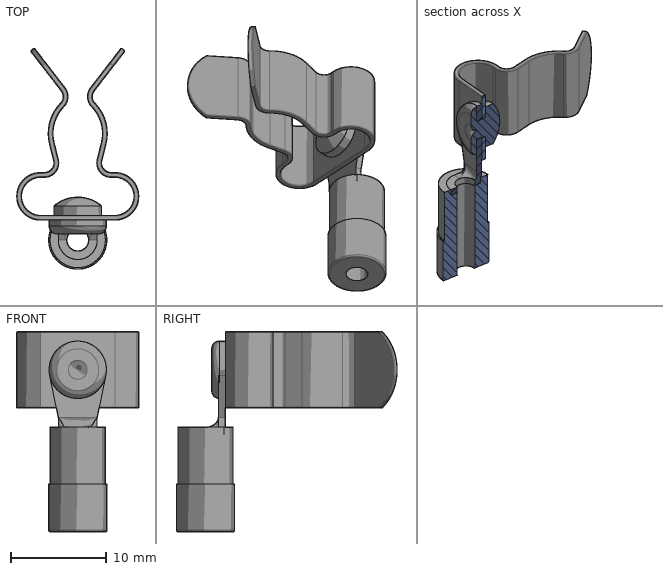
import cadquery as cq
import math


CLIP_WIDTH = 12.8
STRIP_THICKNESS = 0.5
STRIP_HEIGHT = 8.0
STRIP_EDGE_ROUND = 0.1
HALF_STRIP = STRIP_THICKNESS / 2
LOBE_RADIUS = 2.5 - HALF_STRIP
LOBE_X = CLIP_WIDTH / 2 - HALF_STRIP - LOBE_RADIUS
NECK_RADIUS = 1.25
NECK_X = 3.5
BOW_RADIUS = 4.0 + HALF_STRIP
BOW_X = -1.41
BOW_Y = 9.1
TIP_RADIUS = 1.25
TIP_X = 2.52
ARM_ANGLE = math.radians(37.7)
ARM_END_RADIUS = 5.0
CLIP_REACH = 18.06

LUG_THICKNESS = 0.75
EYE_RADIUS = 3.0
FOOT_RADIUS = 2.04
FOOT_BACK_Y = -0.12
BEND_TOP_Z = -5.03
HOLE_RADIUS = 1.13

HOLDER_TOP_Z = -6.02
HOLDER_STEP_Z = -12.0
HOLDER_BOTTOM_Z = -17.0
HOLDER_AXIS_Y = -2.08
HOLDER_UPPER_RADIUS = 2.9
HOLDER_LOWER_RADIUS = 3.05
HOLDER_EDGE_ROUND = 0.19

HEAD_RADIUS = EYE_RADIUS
HEAD_FACE_Y = -1.44
HEAD_ROUND = 0.8
HEAD_SEAT_Y = HEAD_FACE_Y + HEAD_ROUND
DIMPLE_RADIUS = 1.0
DIMPLE_FLARE_RADIUS = 1.07
SHANK_RADIUS = 1.15
BUTTON_RADIUS = 2.5
BUTTON_RIM_Y = 1.5
BUTTON_TOP_Y = 2.43


def polar(center, radius, angle):
    """Point at an angle in radians on a circle in the XY plane."""
    return cq.Vector(center[0] + radius * math.cos(angle), center[1] + radius * math.sin(angle))


def arc(center, radius, start, end):
    """Arc edge between two angles in radians."""
    stops = [polar(center, radius, a) for a in (start, (start + end) / 2, end)]
    return cq.Edge.makeThreePointArc(*stops)


LOBE = (LOBE_X, LOBE_RADIUS + HALF_STRIP)
NECK = (NECK_X, LOBE[1] + LOBE_RADIUS + NECK_RADIUS)
BOW = (BOW_X, BOW_Y)
BOW_TO_TIP_ANGLE = math.acos((TIP_X - BOW_X) / (BOW_RADIUS + TIP_RADIUS))
TIP = (TIP_X, BOW_Y + (BOW_RADIUS + TIP_RADIUS) * math.sin(BOW_TO_TIP_ANGLE))


def bow_start_angle():
    """Slope of the straight that is tangent to the neck on one side and the bow on the other."""
    across = NECK[0] - BOW[0]
    along = NECK[1] - BOW[1]
    swing = math.acos((BOW_RADIUS + NECK_RADIUS) / math.hypot(across, along))
    return math.atan2(along, across) + swing


def bent_side():
    """Mid-thickness edges of the +X side, from the base up to the end of the tip bend."""
    straight_angle = bow_start_angle()
    lobe = arc(LOBE, LOBE_RADIUS, -math.pi / 2, math.pi / 2)
    neck = arc(NECK, NECK_RADIUS, 1.5 * math.pi, math.pi + straight_angle)
    bow = arc(BOW, BOW_RADIUS, straight_angle, BOW_TO_TIP_ANGLE)
    tip = arc(TIP, TIP_RADIUS, math.pi + BOW_TO_TIP_ANGLE, math.pi - ARM_ANGLE)
    shelf = cq.Edge.makeLine(lobe.endPoint(), neck.startPoint())
    straight = cq.Edge.makeLine(neck.endPoint(), bow.startPoint())
    return [lobe, shelf, neck, straight, bow, tip]


def make_arm():
    """Flat +X arm with a rounded free end."""
    start = polar(TIP, TIP_RADIUS, math.pi - ARM_ANGLE)
    rise = CLIP_REACH - HALF_STRIP * math.sin(ARM_ANGLE) - start.y
    length = rise / math.cos(ARM_ANGLE)
    half_height = STRIP_HEIGHT / 2
    corner = length - ARM_END_RADIUS + math.sqrt(ARM_END_RADIUS**2 - half_height**2)
    direction = (math.sin(ARM_ANGLE), math.cos(ARM_ANGLE), 0)
    normal = (-math.cos(ARM_ANGLE), math.sin(ARM_ANGLE), 0)
    return (
        cq.Workplane(cq.Plane(start, direction, normal))
        .moveTo(0, -half_height)
        .lineTo(corner, -half_height)
        .threePointArc((length, 0), (corner, half_height))
        .lineTo(0, half_height)
        .close()
        .extrude(HALF_STRIP, both=True)
    )


def make_clip():
    """Symmetric clip with every edge of the strip rounded, pierced for the rivet."""
    side = bent_side()
    base_half = cq.Edge.makeLine(cq.Vector(0, HALF_STRIP), side[0].startPoint())
    half = (
        cq.Workplane("YZ", origin=(0, HALF_STRIP, 0))
        .rect(STRIP_THICKNESS, STRIP_HEIGHT)
        .sweep(cq.Wire.assembleEdges([base_half] + side))
        .union(make_arm())
    )
    clip = half.union(half.mirror("YZ")).clean()
    clip = clip.edges("not |Z").fillet(STRIP_EDGE_ROUND)
    return clip.cut(make_shank())


def make_shank():
    """Rivet shank between the head seat and the inner face of the clip base."""
    length = STRIP_THICKNESS - HEAD_SEAT_Y
    return cq.Workplane("XZ", origin=(0, STRIP_THICKNESS, 0)).circle(SHANK_RADIUS).extrude(length)


def make_rivet():
    """Round head with a flared dimple, shank, and domed button inside the clip."""
    flare_angle = math.asin(DIMPLE_RADIUS / DIMPLE_FLARE_RADIUS)
    flare_center = (DIMPLE_RADIUS, HEAD_FACE_Y + DIMPLE_FLARE_RADIUS)
    flare_middle = polar(flare_center, DIMPLE_FLARE_RADIUS, -math.pi / 2 - flare_angle / 2)
    flare_tip = polar(flare_center, DIMPLE_FLARE_RADIUS, -math.pi / 2 - flare_angle)
    head_inset = HEAD_ROUND * (1 - math.sqrt(0.5))
    dome_rise = BUTTON_TOP_Y - BUTTON_RIM_Y
    dome_radius = (BUTTON_RADIUS**2 + dome_rise**2) / (2 * dome_rise)
    dome_center_y = BUTTON_TOP_Y - dome_radius
    dome_half_angle = math.asin(BUTTON_RADIUS / dome_radius) / 2
    dome_middle = (
        dome_radius * math.sin(dome_half_angle),
        dome_center_y + dome_radius * math.cos(dome_half_angle),
    )
    return (
        cq.Workplane("XY")
        .moveTo(0, flare_tip.y)
        .threePointArc(flare_middle.toTuple()[:2], (DIMPLE_RADIUS, HEAD_FACE_Y))
        .lineTo(HEAD_RADIUS - HEAD_ROUND, HEAD_FACE_Y)
        .threePointArc((HEAD_RADIUS - head_inset, HEAD_FACE_Y + head_inset), (HEAD_RADIUS, HEAD_SEAT_Y))
        .lineTo(SHANK_RADIUS, HEAD_SEAT_Y)
        .lineTo(SHANK_RADIUS, STRIP_THICKNESS)
        .lineTo(BUTTON_RADIUS, STRIP_THICKNESS)
        .lineTo(BUTTON_RADIUS, BUTTON_RIM_Y)
        .threePointArc(dome_middle, (0, BUTTON_TOP_Y))
        .close()
        .revolve(360, (0, 0, 0), (0, 1, 0))
    )


def make_foot():
    """Round-ended foot of the lug, flush with the top of the holder."""
    return (
        cq.Workplane("XY", origin=(0, 0, HOLDER_TOP_Z))
        .moveTo(-FOOT_RADIUS, FOOT_BACK_Y)
        .lineTo(-FOOT_RADIUS, HOLDER_AXIS_Y)
        .threePointArc((0, HOLDER_AXIS_Y - FOOT_RADIUS), (FOOT_RADIUS, HOLDER_AXIS_Y))
        .lineTo(FOOT_RADIUS, FOOT_BACK_Y)
        .close()
        .extrude(-LUG_THICKNESS)
    )


def make_tongue():
    """Eye around the rivet with sides running tangent from it down to the bend."""
    corner_distance = math.hypot(FOOT_RADIUS, BEND_TOP_Z)
    corner_angle = math.atan2(BEND_TOP_Z, FOOT_RADIUS)
    tangent = polar((0, 0), EYE_RADIUS, corner_angle + math.acos(EYE_RADIUS / corner_distance))
    return (
        cq.Workplane("XZ")
        .moveTo(-FOOT_RADIUS, BEND_TOP_Z)
        .lineTo(FOOT_RADIUS, BEND_TOP_Z)
        .lineTo(tangent.x, tangent.y)
        .threePointArc((0, EYE_RADIUS), (-tangent.x, tangent.y))
        .close()
        .extrude(LUG_THICKNESS)
    )


def flat_face(*corners):
    """Plane face with straight sides."""
    return cq.Face.makeFromWires(cq.Wire.makePolygon(corners, close=True))


def make_bend():
    """Bend whose top hollows down from the tongue's front edge to the rear half of the hole rim."""
    outer = FOOT_RADIUS
    front = -LUG_THICKNESS
    floor_back = [cq.Vector(side * outer, 0, HOLDER_TOP_Z) for side in (-1, 1)]
    floor_front = [cq.Vector(side * outer, front, HOLDER_TOP_Z) for side in (-1, 1)]
    floor_end = [cq.Vector(side * outer, HOLDER_AXIS_Y, HOLDER_TOP_Z) for side in (-1, 1)]
    rim_end = [cq.Vector(side * HOLE_RADIUS, HOLDER_AXIS_Y, HOLDER_TOP_Z) for side in (-1, 1)]
    top_back = [cq.Vector(side * outer, 0, BEND_TOP_Z) for side in (-1, 1)]
    top_front = [cq.Vector(side * outer, front, BEND_TOP_Z) for side in (-1, 1)]

    rim_middle = cq.Vector(0, HOLDER_AXIS_Y + HOLE_RADIUS, HOLDER_TOP_Z)
    rim = cq.Edge.makeThreePointArc(rim_end[0], rim_middle, rim_end[1])
    creases = []
    for start, end in zip(top_front, rim_end):
        run = end - start
        tangents = [cq.Vector(run.x, 0, run.z), cq.Vector(run.x, run.y, 0)]
        creases.append(cq.Edge.makeSpline([start, end], tangents=tangents))

    hollow = cq.Face.makeNSidedSurface(
        [cq.Edge.makeLine(*top_front), creases[1], rim, creases[0]], []
    )
    floor_outline = cq.Wire.assembleEdges(
        [
            cq.Edge.makeLine(rim_end[1], floor_end[1]),
            cq.Edge.makeLine(floor_end[1], floor_front[1]),
            cq.Edge.makeLine(floor_front[1], floor_back[1]),
            cq.Edge.makeLine(floor_back[1], floor_back[0]),
            cq.Edge.makeLine(floor_back[0], floor_front[0]),
            cq.Edge.makeLine(floor_front[0], floor_end[0]),
            cq.Edge.makeLine(floor_end[0], rim_end[0]),
            rim,
        ]
    )
    faces = [
        hollow,
        cq.Face.makeFromWires(floor_outline),
        flat_face(top_back[0], top_back[1], top_front[1], top_front[0]),
        flat_face(top_back[0], top_back[1], floor_back[1], floor_back[0]),
    ]
    for side in (0, 1):
        faces.append(flat_face(top_back[side], top_front[side], floor_front[side], floor_back[side]))
        foot_edge = cq.Edge.makeLine(floor_front[side], floor_end[side])
        faces.append(cq.Face.makeRuledSurface(creases[side], foot_edge))
    return cq.Workplane(cq.Solid.makeSolid(cq.Shell.makeShell(faces)))


def make_bore():
    """Hole down through the foot and the whole holder."""
    bore = cq.Workplane("XY", origin=(0, HOLDER_AXIS_Y, HOLDER_BOTTOM_Z))
    return bore.circle(HOLE_RADIUS).extrude(HOLDER_TOP_Z - HOLDER_BOTTOM_Z)


def make_lug():
    """Tongue, bend and foot, with a shallow seat that takes the rounded rim of the rivet head."""
    head_seat = (
        cq.Workplane("XZ", origin=(0, HEAD_SEAT_Y, 0)).circle(HEAD_RADIUS).extrude(LUG_THICKNESS)
    )
    lug = make_tongue().union(make_bend()).union(make_foot())
    return lug.cut(make_shank()).cut(head_seat).cut(make_bore())


def make_holder():
    """Stepped sleeve with a through bore and a recess for the lug foot."""
    lower = (
        cq.Workplane("XY", origin=(0, HOLDER_AXIS_Y, HOLDER_BOTTOM_Z))
        .circle(HOLDER_LOWER_RADIUS)
        .extrude(HOLDER_STEP_Z - HOLDER_BOTTOM_Z)
        .faces("<Z")
        .edges()
        .fillet(HOLDER_EDGE_ROUND)
    )
    upper = (
        cq.Workplane("XY", origin=(0, HOLDER_AXIS_Y, HOLDER_STEP_Z))
        .circle(HOLDER_UPPER_RADIUS)
        .extrude(HOLDER_TOP_Z - HOLDER_STEP_Z)
    )
    return lower.union(upper).cut(make_bore()).cut(make_foot())


clip = make_clip().solids()
rivet = make_rivet().solids()
lug = make_lug().solids()
holder = make_holder().solids()

result = cq.Compound.makeCompound([clip.val(), rivet.val(), lug.val(), holder.val()])